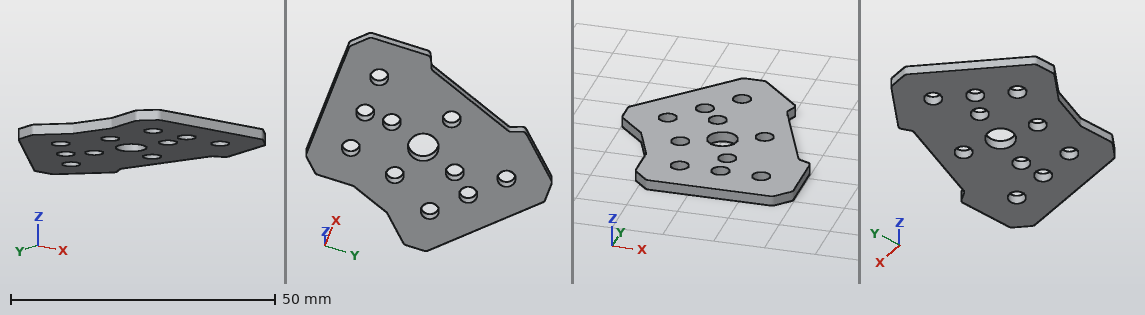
import cadquery as cq
import math

thickness = 2.0
mirror_angle = 22.5
arm_width = 31.05
corner_chamfer = 3.1
corner_radius = 1.0
arm_hole_pitch = 8.05
hole_diameter = 3.45
center_hole_diameter = 5.83
ring_radius = 8.05
ring_hole_count = 4

arm_center_x = 3.3
arm_row_y = -12.85
edge_margin = 7.5
long_edge_distance = 13.4
short_edge_distance = 15.0
tip_y = -5.2

axis_x = math.cos(math.radians(mirror_angle))
axis_y = math.sin(math.radians(mirror_angle))


def mirrored(point):
    """Reflect a point across the inclined symmetry axis."""
    along = 2 * (point[0] * axis_x + point[1] * axis_y)
    return (along * axis_x - point[0], along * axis_y - point[1])


left_x = arm_center_x - arm_width / 2
right_x = arm_center_x + arm_width / 2
bottom_y = arm_row_y - edge_margin

short_edge_y = (-short_edge_distance - left_x * axis_x) / axis_y
tip = (right_x, tip_y)
tip_distance = tip[0] * axis_x + tip[1] * axis_y
shoulder_length = (tip_distance - long_edge_distance) / (axis_x**2 - axis_y**2)
waist = (tip[0] - shoulder_length * axis_x, tip[1] + shoulder_length * axis_y)

arm_outline = [
    (left_x, short_edge_y),
    (left_x, bottom_y + corner_chamfer),
    (left_x + corner_chamfer, bottom_y),
    (right_x - corner_chamfer, bottom_y),
    (right_x, bottom_y + corner_chamfer),
    tip,
    waist,
]
outline = arm_outline + [mirrored(point) for point in reversed(arm_outline)]

plate = cq.Workplane("XY").polyline(outline).close().extrude(thickness)
plate = plate.edges("|Z").fillet(corner_radius)

row = [(arm_center_x + step * arm_hole_pitch, arm_row_y) for step in (-1, 0, 1)]
small_holes = row + [mirrored(point) for point in row]
for index in range(ring_hole_count):
    angle = math.radians(mirror_angle + index * 360 / ring_hole_count)
    small_holes.append((ring_radius * math.cos(angle), ring_radius * math.sin(angle)))

top = plate.faces(">Z").workplane(origin=(0, 0, thickness))
plate = top.pushPoints(small_holes).hole(hole_diameter)
top = plate.faces(">Z").workplane(origin=(0, 0, thickness))
result = top.hole(center_hole_diameter)